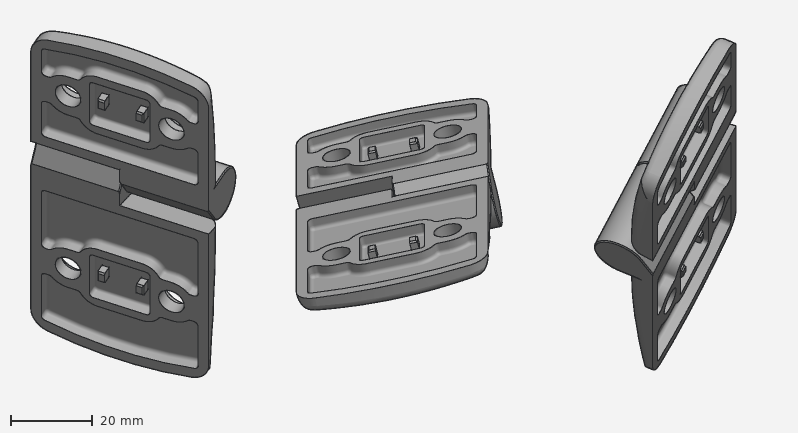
import cadquery as cq
import math


width = 48.0
half_width = width / 2
total_height = 101
axis_height = 7.02

upper_length = total_height / 2 - axis_height
lower_length = total_height / 2 + axis_height
upper_hole_distance = 25.1
lower_hole_distance = 32.47
upper_back_radius = 188.9
lower_back_radius = 308

knuckle_radius = 6.9
knuckle_axis_y = 9.0
knuckle_chamfer = 0.3
knuckle_toe = 1.4
knuckle_seat = 6.3
leaf_gap = 6.0

shell_thickness = 8.2
shell_start = 7.9
crown_drop = 0.9
side_round_bulge = 0.6
side_round_width = 3.4
side_round_start = 3.0
tip_radius = 99
corner_radius = 5.9
tip_edge_fillet = 1.6
reach = 2 * total_height

hole_spacing = 27.9
hole_radius = 3.4
head_radius = 5.8
head_floor = 3.5

pocket_depth = 3.0
pocket_half_width = 21.1
pocket_start = 9.0
pocket_tip_margin = 3.1
pocket_corner = 1.2
pocket_fillet = 1.0
pad_half_height = 9.5
pad_flat_half = 6.0
pad_shoulder_radius = 5.4
pad_shoulder_x = 10.8
lobe_radius = 6.4
lobe_end_height = 4.2

window_width = 16.3
window_height = 14.1
window_corner = 1.0
window_fillet = 0.7
cap_width = 14.1
cap_height = 12.1
cap_floor = 5.0
hook_spacing = 10.5
hook_width = 1.9
hook_height = 3.1
hook_top = 0.3
hook_chamfer = 0.4


def box(x_size, z_size, y_start, y_end, x=0.0, z=0.0):
    """Block centred on (x, z) and spanning y_start to y_end."""
    block = cq.Workplane("XY").box(x_size, y_end - y_start, z_size)
    return block.translate((x, (y_start + y_end) / 2, z))


def tip_arc_drop(x, radius):
    """Drop of an arc below its middle, at a distance x from the middle."""
    return radius - math.sqrt(radius**2 - x**2)


def leaf_outline(length):
    """Front outline of a leaf: straight sides, arched tip and rounded tip corners."""
    side_top = length - tip_arc_drop(half_width, tip_radius)
    outline = (
        cq.Workplane("XZ")
        .moveTo(-half_width, 0)
        .lineTo(half_width, 0)
        .lineTo(half_width, side_top)
        .threePointArc((0, length), (-half_width, side_top))
        .close()
        .extrude(-shell_thickness)
    )
    return outline.edges("|Y").edges(">Z").fillet(corner_radius)


def cross_section():
    """Section of a leaf where its back begins to curve, continued past the mounting face.

    The extra depth keeps the curled-in tip of the revolved section behind the mounting face.
    """
    base = -2 * shell_thickness
    round_x = half_width - side_round_width
    round_y = shell_thickness - crown_drop
    mid_x = half_width - 0.25 * side_round_width
    mid_y = side_round_start + side_round_bulge * (round_y - side_round_start)
    return (
        cq.Workplane("XY", origin=(0, 0, shell_start))
        .moveTo(-half_width, base)
        .lineTo(-half_width, side_round_start)
        .threePointArc((-mid_x, mid_y), (-round_x, round_y))
        .threePointArc((0, shell_thickness), (round_x, round_y))
        .threePointArc((mid_x, mid_y), (half_width, side_round_start))
        .lineTo(half_width, base)
        .close()
    )


def leaf_shell(length, back_radius):
    """Crowned shell whose back curves towards the mounting face at the tip."""
    centre_y = shell_thickness - back_radius
    sweep_angle = math.degrees(math.asin((length - shell_start) / back_radius)) + 3
    curved = cross_section().revolve(sweep_angle, (0, centre_y, 0), (1, centre_y, 0))
    straight = cross_section().extrude(-shell_start)
    shell = curved.union(straight).intersect(leaf_outline(length))
    return shell.faces(">Z").edges(">Y").fillet(tip_edge_fillet)


def knuckle():
    """Barrel over half the width, with a flat running to the mounting face."""
    toe_length = math.hypot(knuckle_axis_y, knuckle_toe)
    tangent_length = math.sqrt(toe_length**2 - knuckle_radius**2)
    toe_angle = math.atan2(-knuckle_toe, knuckle_axis_y) - math.asin(knuckle_radius / toe_length)
    flat_end = (
        tangent_length * math.cos(toe_angle),
        knuckle_toe + tangent_length * math.sin(toe_angle),
    )
    barrel = (
        cq.Workplane("YZ")
        .moveTo(0, knuckle_toe)
        .lineTo(*flat_end)
        .threePointArc((knuckle_axis_y + knuckle_radius, 0), (knuckle_axis_y, knuckle_radius))
        .lineTo(0, knuckle_radius)
        .close()
        .extrude(half_width)
    )
    return barrel.faces("<X or >X").edges("not <Y").chamfer(knuckle_chamfer)


def free_edge_cut():
    """Slanted clearance beside the knuckle, for the knuckle of the other leaf."""
    return (
        cq.Workplane("YZ", origin=(-half_width, 0, 0))
        .moveTo(0, -shell_start)
        .lineTo(0, leaf_gap)
        .lineTo(shell_thickness, shell_start)
        .lineTo(shell_thickness, -shell_start)
        .close()
        .extrude(half_width)
    )


def pad_wall(path, hole_distance, side):
    """Continue a pocket outline along the pad, from its left end to its right end.

    side is 1 for the pocket above the pad and -1 for the one below it.
    """
    lobe_x = hole_spacing / 2
    lobe_end_x = lobe_x + math.sqrt(lobe_radius**2 - lobe_end_height**2)
    lobe_mid = (lobe_x + lobe_end_x) / 2
    lobe_mid_height = math.sqrt(lobe_radius**2 - (lobe_mid - lobe_x) ** 2)
    shoulder_run = pad_shoulder_x - pad_flat_half
    shoulder_mid = pad_flat_half + shoulder_run / 2
    shoulder_mid_height = pad_half_height - tip_arc_drop(shoulder_run / 2, pad_shoulder_radius)

    def at(x, height):
        return (x, hole_distance + side * height)

    return (
        path.lineTo(*at(-lobe_end_x, lobe_end_height))
        .threePointArc(at(-lobe_mid, lobe_mid_height), at(-lobe_x, lobe_radius))
        .lineTo(*at(-pad_shoulder_x, lobe_radius))
        .threePointArc(at(-shoulder_mid, shoulder_mid_height), at(-pad_flat_half, pad_half_height))
        .lineTo(*at(pad_flat_half, pad_half_height))
        .threePointArc(at(shoulder_mid, shoulder_mid_height), at(pad_shoulder_x, lobe_radius))
        .lineTo(*at(lobe_x, lobe_radius))
        .threePointArc(at(lobe_mid, lobe_mid_height), at(lobe_end_x, lobe_end_height))
        .lineTo(*at(pocket_half_width, lobe_end_height))
    )


def rounded_pocket(outline):
    """Pocket with rounded upright corners and a filleted floor."""
    pocket = outline.close().extrude(-pocket_depth)
    return pocket.edges("|Y").fillet(pocket_corner).faces(">Y").edges().fillet(pocket_fillet)


def pockets(length, hole_distance):
    """The pocket beside the tip and the pocket beside the hinge, on either side of the pad."""
    tip = length - pocket_tip_margin
    tip_side = tip - tip_arc_drop(pocket_half_width, tip_radius)
    pad_end = hole_distance + lobe_end_height
    tip_path = cq.Workplane("XZ").moveTo(-pocket_half_width, pad_end)
    tip_pocket = (
        pad_wall(tip_path, hole_distance, 1)
        .lineTo(pocket_half_width, tip_side)
        .threePointArc((0, tip), (-pocket_half_width, tip_side))
    )
    hinge_path = cq.Workplane("XZ").moveTo(-pocket_half_width, hole_distance - lobe_end_height)
    hinge_pocket = (
        pad_wall(hinge_path, hole_distance, -1)
        .lineTo(pocket_half_width, pocket_start)
        .lineTo(-pocket_half_width, pocket_start)
    )
    return [rounded_pocket(outline) for outline in (tip_pocket, hinge_pocket)]


def window(hole_distance):
    """Rectangular recess in the middle of the pad."""
    recess = box(window_width, window_height, 0, pocket_depth, z=hole_distance)
    return recess.edges("|Y").fillet(window_corner).faces(">Y").edges().fillet(window_fillet)


def screw_hole(x, hole_distance):
    """Through hole with a seat for the screw head, open at the back."""
    start = cq.Workplane("XZ", origin=(x, 0, hole_distance))
    shank = start.circle(hole_radius).extrude(-reach)
    seat = start.workplane(offset=-head_floor).circle(head_radius).extrude(-reach)
    return shank.union(seat)


def cap_blank(hole_distance):
    """Cap plate, thicker than the leaf, with its two hooks."""
    blank = box(cap_width, cap_height, cap_floor, reach, z=hole_distance)
    for side in (-1, 1):
        x = side * hook_spacing / 2
        hook = box(hook_width, hook_height, hook_top, cap_floor, x, hole_distance)
        outer_edges = "not >X" if side < 0 else "not <X"
        hook = hook.faces("<Y").edges(outer_edges).chamfer(hook_chamfer)
        blank = blank.union(hook)
    return blank


def solid_leaf(length, back_radius):
    """Leaf with its knuckle, before any pocket or hole."""
    shell = leaf_shell(length, back_radius).cut(free_edge_cut())
    knuckle_side = box(half_width, 2 * knuckle_seat, 0, reach, x=half_width / 2)
    return shell.cut(knuckle_side).union(knuckle())


def leaf_and_cap(length, hole_distance, back_radius):
    """One leaf and the cap that fills the recess in its back."""
    leaf = solid_leaf(length, back_radius)
    blank = cap_blank(hole_distance)
    cap = leaf.intersect(blank)
    leaf = leaf.cut(blank).cut(window(hole_distance))
    for pocket in pockets(length, hole_distance):
        leaf = leaf.cut(pocket)
    for side in (-1, 1):
        leaf = leaf.cut(screw_hole(side * hole_spacing / 2, hole_distance))
    return leaf, cap


def place(body, turn):
    """Turn a body about Y and lift it onto the hinge axis."""
    return body.rotate((0, 0, 0), (0, 1, 0), turn).translate((0, 0, axis_height))


upper_leaf, upper_cap = leaf_and_cap(upper_length, upper_hole_distance, upper_back_radius)
lower_leaf, lower_cap = leaf_and_cap(lower_length, lower_hole_distance, lower_back_radius)

result = cq.Compound.makeCompound(
    [
        place(upper_leaf, 0).val(),
        place(upper_cap, 0).val(),
        place(lower_leaf, 180).val(),
        place(lower_cap, 180).val(),
    ]
)